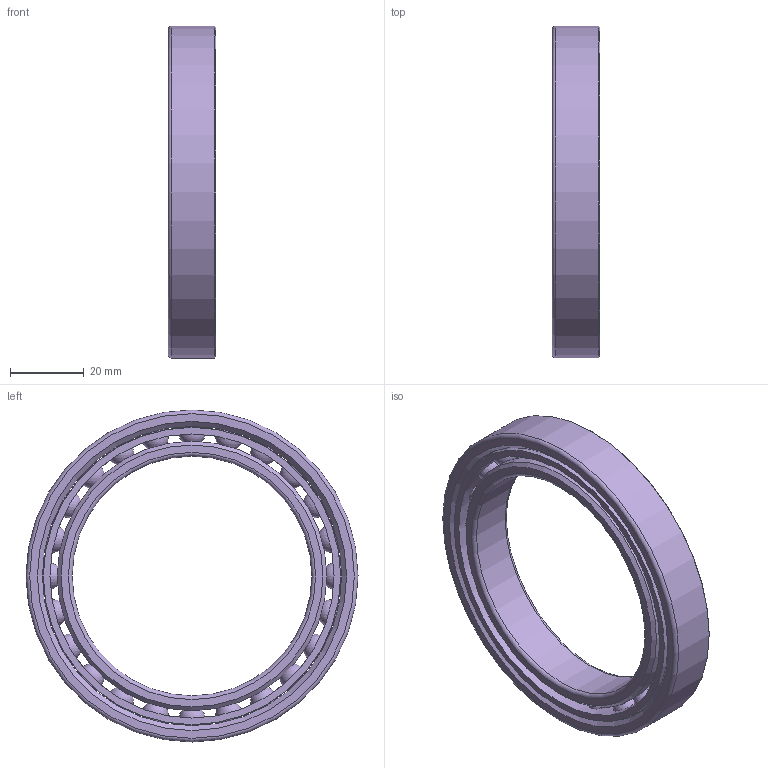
import cadquery as cq
import math

outer_diameter = 90.0
bore_diameter = 65.0
width = 13.0

ball_count = 24
ball_radius = 3.57
pitch_radius = (outer_diameter + bore_diameter) / 4
mid_width = width / 2

edge_radius = 1.0
edge_mid_offset = edge_radius * (1 - math.sqrt(0.5))
small_chamfer = 0.3
outer_face_radius = 41.9
outer_shoulder_radius = 40.65
inner_shoulder_radius = 36.5
inner_face_radius = 35.5

cage_inner_radius = 38.5
cage_outer_radius = 40.3
cage_inset = 0.2


def revolve_about_x(profile):
    """Revolve a profile in the XY plane, with Y as the radius, around the X axis."""
    return profile.revolve(360, (0, 0, 0), (1, 0, 0))


def ball_groove():
    """Toroidal track that the balls run in, with the same radius as a ball."""
    centre = cq.Vector(mid_width, 0, 0)
    axis = cq.Vector(1, 0, 0)
    return cq.Workplane(cq.Solid.makeTorus(pitch_radius, ball_radius, centre, axis))


def make_outer_ring():
    """Outer ring: rounded outer edge and 45 degree lead-in at -X, small chamfer at +X."""
    radius = outer_diameter / 2
    lead_in = outer_face_radius - outer_shoulder_radius
    profile = (
        cq.Workplane("XY")
        .moveTo(0, outer_face_radius)
        .lineTo(0, radius - edge_radius)
        .threePointArc((edge_mid_offset, radius - edge_mid_offset), (edge_radius, radius))
        .lineTo(width - small_chamfer, radius)
        .lineTo(width, radius - small_chamfer)
        .lineTo(width, outer_shoulder_radius)
        .lineTo(lead_in, outer_shoulder_radius)
        .close()
    )
    return revolve_about_x(profile).cut(ball_groove())


def make_inner_ring():
    """Inner ring: both bore edges rounded, 45 degree lead-in at -X."""
    radius = bore_diameter / 2
    lead_in = inner_shoulder_radius - inner_face_radius
    profile = (
        cq.Workplane("XY")
        .moveTo(0, inner_face_radius)
        .lineTo(0, radius + edge_radius)
        .threePointArc((edge_mid_offset, radius + edge_mid_offset), (edge_radius, radius))
        .lineTo(width - edge_radius, radius)
        .threePointArc((width - edge_mid_offset, radius + edge_mid_offset), (width, radius + edge_radius))
        .lineTo(width, inner_shoulder_radius)
        .lineTo(lead_in, inner_shoulder_radius)
        .close()
    )
    return revolve_about_x(profile).cut(ball_groove())


def make_cage():
    """Cage band and its ring of balls, joined into one body."""
    cage = (
        cq.Workplane("YZ", origin=(cage_inset, 0, 0))
        .circle(cage_outer_radius)
        .circle(cage_inner_radius)
        .extrude(width - 2 * cage_inset)
    )
    for index in range(ball_count):
        angle = 2 * math.pi * index / ball_count
        centre = (mid_width, pitch_radius * math.cos(angle), pitch_radius * math.sin(angle))
        cage = cage.union(cq.Workplane("XY", origin=centre).sphere(ball_radius))
    return cage


outer_ring = make_outer_ring()
inner_ring = make_inner_ring()
cage = make_cage()
result = cq.Compound.makeCompound([outer_ring.val(), inner_ring.val(), cage.val()])